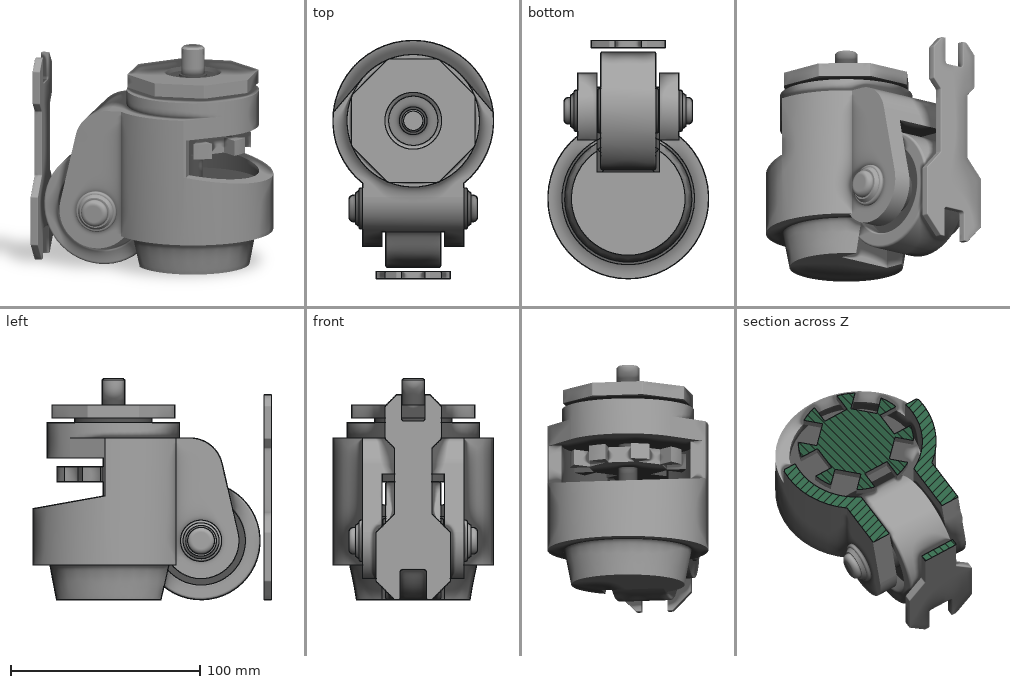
import cadquery as cq
import math


housing_radius = 42.5
bore_radius = 35.0
housing_bottom = 18.4
housing_top = 85.6
disc_radius = bore_radius
disc_bottom = 74.8
disc_top = 93.6

window_y = 5.5
window_bottom = 54.8
window_rim_end = 48.2
flank_start_y = 4.4

neck_radius = 20.5
plate_bottom = 96.0
plate_thickness = 7.0
plate_top = plate_bottom + plate_thickness
plate_width = 65.0
plate_sides = 8
plate_corner = 1.0
dish_radius = 15.0
dish_floor_radius = 13.0
dish_depth = 1.8
collar_radius = 7.35
collar_height = 1.0
stem_radius = 6.0
stem_top = 117.0
stem_chamfer = 0.9

axle_y = -46.3
wheel_radius = 31.2
axle_z = wheel_radius
wheel_width = 29.2
wheel_edge_fillet = 1.2
recess_radius = 23.4
recess_edge_fillet = 0.9
web_thickness = 13.5
hub_radius = 11.7
hub_width = 32.0
hub_fillet = 0.8
axle_radius = 6.0
washer_radius = 10.9
washer_thickness = 2.0
washer_fillet = 1.2
dome_base_radius = 9.5
dome_top_radius = 8.1
dome_height = 1.9
cap_radius = 7.1
cap_fillet = 2.6
cap_reach = 34.0

fork_width = 53.4
slot_width = 32.8
slot_top = 66.4
fork_end_radius = 20.0
fork_shoulder_radius = 17.5
fork_shoulder_y = -40.4

foot_radius = 30.0
foot_shoulder_radius = 33.6
foot_top = 44.0
foot_slot_end_y = -14.0
stud_radius = 5.0
dial_radius = 30.6
dial_bottom = 62.3
dial_top = 70.4
dial_notches = 8
dial_notch_width = 13.8
dial_notch_floor = 19.7

wrench_front_y = -83.52
wrench_thickness = 4.0
wrench_height = 108.4
handle_half_width = 9.8
small_head_half_width = 14.8
small_head_bottom = 85.0
small_tip_half_width = 8.8
small_jaw_half_width = 6.2
small_jaw_floor = 94.4
large_head_half_width = 19.6
large_head_top = 35.7
large_chamfer = 9.8
large_jaw_half_width = 7.0
large_jaw_depth = 16.0
jaw_corner = 1.5
wrench_corner = 1.0
wrench_edge = 0.4


def disc(radius, bottom, top):
    """Vertical cylinder on the swivel axis."""
    return cq.Workplane("XY").workplane(offset=bottom).circle(radius).extrude(top - bottom)


def block(width, y_min, y_max, z_min, z_max):
    """Box centred on X between two Y and two Z limits."""
    size_y = y_max - y_min
    size_z = z_max - z_min
    box = cq.Workplane("XY").box(width, size_y, size_z, centered=(True, False, False))
    return box.translate((0, y_min, z_min))


def across(width):
    """Work plane with local axes Y and Z whose extrusion spans the width along X."""
    return cq.Workplane("YZ").workplane(offset=-width / 2)


def point_on_circle(centre, radius, angle):
    return (centre[0] + radius * math.cos(angle), centre[1] + radius * math.sin(angle))


def make_housing():
    housing = disc(housing_radius, housing_bottom, housing_top)

    reach = housing_radius
    slope = (window_rim_end - window_bottom) / (housing_radius - window_y)
    clearing = (
        across(2 * reach)
        .moveTo(window_y, window_bottom)
        .lineTo(reach, window_bottom + slope * (reach - window_y))
        .lineTo(reach, housing_top)
        .lineTo(window_y, housing_top)
        .close()
        .extrude(2 * reach)
    )
    housing = housing.cut(clearing)

    start_x = math.sqrt(housing_radius**2 - flank_start_y**2)
    tangent_angle = math.atan2(flank_start_y, start_x) + math.acos(disc_radius / housing_radius)
    tangent_x = disc_radius * math.cos(tangent_angle)
    tangent_y = disc_radius * math.sin(tangent_angle)
    flanks = (
        cq.Workplane("XY")
        .workplane(offset=disc_bottom)
        .polyline([(start_x, flank_start_y), (tangent_x, tangent_y),
                   (-tangent_x, tangent_y), (-start_x, flank_start_y)])
        .close()
        .extrude(housing_top - disc_bottom)
    )
    housing = housing.union(flanks)

    for side in (1, -1):
        trim = (
            cq.Workplane("XY")
            .workplane(offset=window_bottom)
            .polyline([(side * start_x, flank_start_y), (side * tangent_x, tangent_y),
                       (side * reach, tangent_y), (side * reach, flank_start_y)])
            .close()
            .extrude(housing_top - window_bottom)
        )
        housing = housing.cut(trim)
    return housing.union(disc(disc_radius, disc_bottom, disc_top))


def make_fork():
    """Fork cheeks as one block: rounded shoulder, sloping front, rounded axle end."""
    shoulder = (fork_shoulder_y, housing_top - fork_shoulder_radius)
    axle = (axle_y, axle_z)
    lean = math.atan2(shoulder[0] - axle[0], shoulder[1] - axle[1])
    spacing = math.hypot(shoulder[0] - axle[0], shoulder[1] - axle[1])
    lean += math.asin((fork_end_radius - fork_shoulder_radius) / spacing)
    front = math.pi - lean
    shoulder_middle = (math.pi / 2 + front) / 2

    rear = math.asin((housing_bottom - axle_z) / fork_end_radius)
    profile = (
        across(fork_width)
        .moveTo(0, housing_top)
        .lineTo(fork_shoulder_y, housing_top)
        .threePointArc(
            point_on_circle(shoulder, fork_shoulder_radius, shoulder_middle),
            point_on_circle(shoulder, fork_shoulder_radius, front),
        )
        .lineTo(*point_on_circle(axle, fork_end_radius, front))
        .threePointArc(
            point_on_circle(axle, fork_end_radius, -math.pi / 2),
            point_on_circle(axle, fork_end_radius, rear),
        )
        .lineTo(0, housing_bottom)
        .close()
    )
    return profile.extrude(fork_width)


def make_mount():
    """Neck, dished octagonal plate with a collar, and the stem."""
    corner_diameter = plate_width / math.cos(math.pi / plate_sides)
    plate = (
        cq.Workplane("XY")
        .workplane(offset=plate_bottom)
        .transformed(rotate=(0, 0, 180 / plate_sides))
        .polygon(plate_sides, corner_diameter)
        .extrude(plate_thickness)
        .edges("|Z")
        .fillet(plate_corner)
    )
    dish_floor = plate_top - dish_depth
    dish = (
        cq.Workplane("XY")
        .workplane(offset=dish_floor)
        .circle(dish_floor_radius)
        .workplane(offset=dish_depth)
        .circle(dish_radius)
        .loft()
    )
    stem = disc(stem_radius, dish_floor, stem_top).faces(">Z").chamfer(stem_chamfer)
    mount = disc(neck_radius, disc_top, plate_bottom).union(plate).cut(dish)
    return mount.union(disc(collar_radius, dish_floor, dish_floor + collar_height)).union(stem)


def make_frame():
    fork_seat = block(fork_width, -housing_radius, 0, housing_bottom, housing_top)
    frame = make_housing().cut(fork_seat).union(make_fork())
    frame = frame.cut(disc(bore_radius, 0, disc_bottom))
    frame = frame.cut(block(slot_width, axle_y - wheel_radius, 0, 0, slot_top))
    axle_hole = across(fork_width).center(axle_y, axle_z).circle(axle_radius).extrude(fork_width)
    return frame.cut(axle_hole).union(make_mount())


def make_foot():
    """Tapered foot guided in the housing bore, with a stud carrying the notched dial."""
    foot = (
        cq.Workplane("XZ")
        .moveTo(0, 0)
        .lineTo(foot_radius, 0)
        .lineTo(foot_shoulder_radius, housing_bottom)
        .lineTo(bore_radius, housing_bottom)
        .lineTo(bore_radius, foot_top)
        .lineTo(0, foot_top)
        .close()
        .revolve(360, (0, 0, 0), (0, 1, 0))
    )
    foot = foot.cut(block(slot_width, -bore_radius, foot_slot_end_y, 0, foot_top))

    dial = disc(dial_radius, dial_bottom, dial_top)
    notch = block(dial_notch_width, dial_notch_floor, dial_radius, dial_bottom, dial_top)
    for i in range(dial_notches):
        dial = dial.cut(notch.rotate((0, 0, 0), (0, 0, 1), i * 360 / dial_notches))
    return foot.union(disc(stud_radius, foot_top, disc_bottom)).union(dial)


def wheel_disc(radius, width):
    """Cylinder on the axle, centred on X."""
    return across(width).center(axle_y, axle_z).circle(radius).extrude(width)


def make_axle_end():
    """Washer, dome and rounded cap on the +X end of the axle."""
    washer_start = fork_width / 2
    dome_start = washer_start + washer_thickness
    cap_start = dome_start + dome_height
    washer = (
        cq.Workplane("YZ")
        .workplane(offset=washer_start)
        .center(axle_y, axle_z)
        .circle(washer_radius)
        .extrude(washer_thickness)
        .faces(">X")
        .edges()
        .fillet(washer_fillet)
    )
    dome = (
        cq.Workplane("YZ")
        .workplane(offset=dome_start)
        .center(axle_y, axle_z)
        .circle(dome_base_radius)
        .workplane(offset=dome_height)
        .circle(dome_top_radius)
        .loft()
    )
    cap = (
        cq.Workplane("YZ")
        .workplane(offset=cap_start)
        .center(axle_y, axle_z)
        .circle(cap_radius)
        .extrude(cap_reach - cap_start)
        .faces(">X")
        .edges()
        .fillet(cap_fillet)
    )
    return washer.union(dome).union(cap)


def make_wheel():
    wheel = wheel_disc(wheel_radius, wheel_width)
    recesses = wheel_disc(recess_radius, wheel_width).cut(wheel_disc(recess_radius, web_thickness))
    wheel = wheel.cut(recesses)
    wheel = wheel.faces("<X or >X").edges(cq.selectors.RadiusNthSelector(1)).fillet(wheel_edge_fillet)
    wheel = wheel.faces("<X or >X").edges(cq.selectors.RadiusNthSelector(0)).fillet(recess_edge_fillet)
    hub = wheel_disc(hub_radius, hub_width).faces("<X or >X").edges().fillet(hub_fillet)
    axle = wheel_disc(axle_radius, fork_width)
    axle_end = make_axle_end()
    return wheel.union(hub).union(axle).union(axle_end).union(axle_end.mirror("YZ"))


def make_jaw(half_width, bottom, top, floor_edges):
    """Open wrench jaw with rounded floor corners."""
    rear_y = wrench_front_y + wrench_thickness
    jaw = block(2 * half_width, wrench_front_y, rear_y, bottom, top)
    return jaw.faces(floor_edges).edges("|Y").fillet(jaw_corner)


def make_wrench():
    small_chamfer = small_head_half_width - small_tip_half_width
    small_taper = small_head_half_width - handle_half_width
    large_taper = large_head_half_width - handle_half_width
    right_side = [
        (large_head_half_width - large_chamfer, 0),
        (large_head_half_width, large_chamfer),
        (large_head_half_width, large_head_top),
        (handle_half_width, large_head_top + large_taper),
        (handle_half_width, small_head_bottom - small_taper),
        (small_head_half_width, small_head_bottom),
        (small_head_half_width, wrench_height - small_chamfer),
        (small_tip_half_width, wrench_height),
    ]
    left_side = [(-x, z) for x, z in reversed(right_side)]
    rear_y = wrench_front_y + wrench_thickness
    wrench = (
        cq.Workplane("XZ", origin=(0, rear_y, 0))
        .polyline(right_side + left_side)
        .close()
        .extrude(wrench_thickness)
        .edges("|Y")
        .fillet(wrench_corner)
    )
    wrench = wrench.cut(make_jaw(large_jaw_half_width, 0, large_jaw_depth, ">Z"))
    wrench = wrench.cut(make_jaw(small_jaw_half_width, small_jaw_floor, wrench_height, "<Z"))
    return wrench.faces("<Y or >Y").edges().fillet(wrench_edge)


frame = make_frame()
foot = make_foot()
wheel = make_wheel()
wrench = make_wrench()

result = cq.Compound.makeCompound([frame.val(), foot.val(), wheel.val(), wrench.val()])